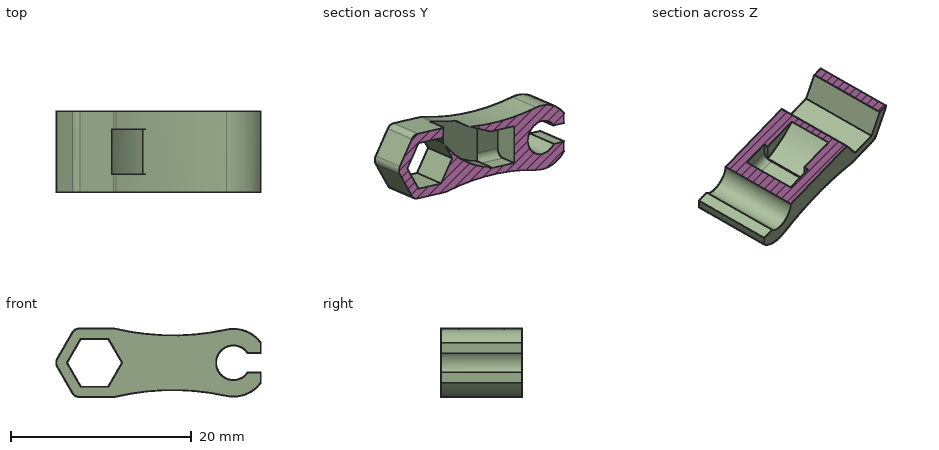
import cadquery as cq
import math

length = 22.62
width = 9.0
height = 7.6

hex_apothem = height / 2
hex_radius = hex_apothem / math.cos(math.pi / 6)
corner_radius = 0.95
hex_center_x = hex_radius - corner_radius * (hex_radius / hex_apothem - 1)
socket_diameter = 6.06

clip_center_x = 19.6
clip_outer_radius = 3.75
clip_bore_radius = 1.9
clip_mouth = 2.1

waist_x = 12.94
waist_half_height = 3.03
waist_end_x = 18.8
waist_blend_radius = 1.3
waist_end_z = math.sqrt(clip_outer_radius**2 - (waist_end_x - clip_center_x) ** 2)
clip_tip_z = math.sqrt(clip_outer_radius**2 - (length - clip_center_x) ** 2)

window_start_x = 6.15
window_end_x = 9.55
window_front_y = 2.04
window_width = 4.98
window_lip_z = 3.23
channel_end_x = 12.55
channel_roof_z = 2.04
floor_start_z = 2.0
floor_radius = 10.63
floor_center_x = 14.65

chamber_length = 3.17
chamber_width = 5.97
chamber_floor_z = -2.2
chamber_corner_radius = 0.9


def make_body():
    """Solid link: hexagonal left end, concave waist and round right end."""
    half_side = hex_radius / 2
    body = (
        cq.Workplane("XZ")
        .moveTo(hex_center_x - hex_radius, 0)
        .lineTo(hex_center_x - half_side, hex_apothem)
        .lineTo(hex_center_x + half_side, hex_apothem)
        .threePointArc((waist_x, waist_half_height), (waist_end_x, waist_end_z))
        .threePointArc((clip_center_x, clip_outer_radius), (length, clip_tip_z))
        .lineTo(length, -clip_tip_z)
        .threePointArc((clip_center_x, -clip_outer_radius), (waist_end_x, -waist_end_z))
        .threePointArc((waist_x, -waist_half_height), (hex_center_x + half_side, -hex_apothem))
        .lineTo(hex_center_x - half_side, -hex_apothem)
        .close()
        .extrude(-width)
    )
    left_corners = cq.selectors.BoxSelector(
        (-hex_radius, -width, -height), (hex_center_x, 2 * width, height)
    )
    body = body.edges("|Y").edges(left_corners).fillet(corner_radius)
    blend_x = hex_center_x + half_side
    waist_starts = cq.selectors.BoxSelector(
        (blend_x - 0.23, -width, -height), (blend_x + 0.23, 2 * width, height)
    )
    return body.edges("|Y").edges(waist_starts).fillet(waist_blend_radius)


def make_socket():
    """Hexagonal through hole."""
    return (
        cq.Workplane("XZ")
        .center(hex_center_x, 0)
        .polygon(6, socket_diameter)
        .extrude(-width)
    )


def make_clip_opening():
    """Round through bore with a mouth open to the right."""
    bore = cq.Workplane("XZ").center(clip_center_x, 0).circle(clip_bore_radius).extrude(-width)
    mouth = cq.Workplane("XY").box(
        length - clip_center_x, width, clip_mouth, centered=(False, False, True)
    )
    return bore.union(mouth.translate((clip_center_x, 0, 0)))


def make_channel():
    """Channel that drops from the top window and sweeps right under the waist."""
    floor_center_z = floor_start_z + math.sqrt(
        floor_radius**2 - (floor_center_x - window_start_x) ** 2
    )
    floor_middle_z = floor_center_z - math.sqrt(
        floor_radius**2 - (floor_center_x - window_end_x) ** 2
    )
    floor_end_z = floor_center_z - math.sqrt(
        floor_radius**2 - (channel_end_x - floor_center_x) ** 2
    )
    return (
        cq.Workplane("XZ", origin=(0, window_front_y, 0))
        .moveTo(window_start_x, height)
        .lineTo(window_start_x, floor_start_z)
        .threePointArc((window_end_x, floor_middle_z), (channel_end_x, floor_end_z))
        .lineTo(channel_end_x, channel_roof_z)
        .lineTo(window_end_x, window_lip_z)
        .lineTo(window_end_x, height)
        .close()
        .extrude(-window_width)
    )


def make_chamber():
    """Chamber beyond the channel, closed on every other side."""
    middle_y = window_front_y + window_width / 2
    chamber = cq.Workplane("XY").box(
        chamber_length, chamber_width, channel_roof_z - chamber_floor_z, centered=(False, True, False)
    )
    chamber = chamber.edges("|X and <Z").fillet(chamber_corner_radius)
    return chamber.translate((channel_end_x, middle_y, chamber_floor_z))


result = (
    make_body()
    .cut(make_socket())
    .cut(make_clip_opening())
    .cut(make_channel())
    .cut(make_chamber())
)